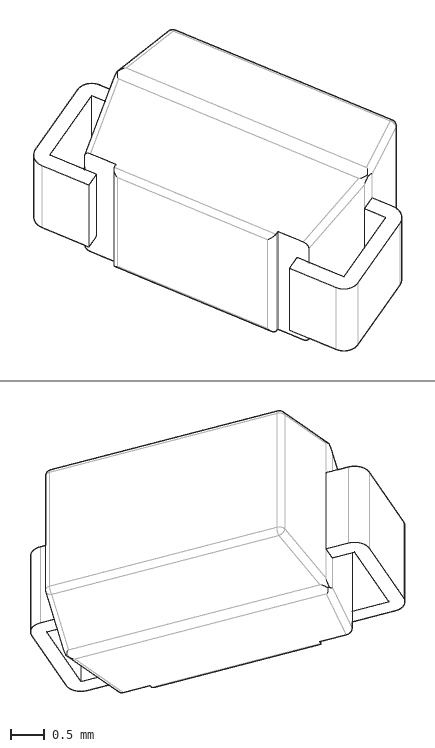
import cadquery as cq
import math

total_length = 5.4
total_depth = 2.95
body_length = 4.21
body_height = 2.7
draft_angle = 10.0
edge_radius = 0.095

lead_thickness = 0.24
lead_width = 1.42
lead_back = 1.77
foot_length = 1.02

pad_length = 2.71
pad_front = 0.1

body_front = lead_thickness
belt_front = lead_back - lead_thickness
parting_plane = (lead_back + belt_front) / 2
draft_slope = math.tan(math.radians(draft_angle))


def drafted_half(end_y, round_end):
    """Tapered block from the parting plane to end_y; slanting edges are rounded, the back rim optionally."""
    belt_overhang = draft_slope * lead_thickness / 2
    block = (
        cq.Workplane("XZ", origin=(0, parting_plane, 0))
        .rect(body_length + 2 * belt_overhang, body_height + 2 * belt_overhang)
        .extrude(-(end_y - parting_plane), taper=draft_angle)
    )
    slanting_edges = block.edges("not(<Y or >Y)")
    if round_end:
        slanting_edges = slanting_edges.add(block.edges(">Y"))
    return slanting_edges.fillet(edge_radius)


def make_body():
    """Two drafted halves trimmed to a flat belt around the parting plane."""
    envelope = cq.Workplane("XY").box(
        body_length, total_depth, body_height, centered=(True, False, True)
    )
    back_half = drafted_half(total_depth, round_end=True)
    front_half = drafted_half(body_front, round_end=False)
    return back_half.union(front_half).intersect(envelope)


def make_pad():
    """Raised pad whose upper and lower faces continue the draft of the body."""
    base_half = body_height / 2
    front_half = base_half - draft_slope * (belt_front - pad_front)
    return (
        cq.Workplane("YZ")
        .moveTo(pad_front, -front_half)
        .lineTo(belt_front, -base_half)
        .lineTo(belt_front, base_half)
        .lineTo(pad_front, front_half)
        .close()
        .extrude(pad_length / 2, both=True)
        .faces("<Y")
        .edges()
        .fillet(edge_radius)
    )


def make_left_lead():
    """C-shaped strip with rounded outer bends and square inner corners."""
    outer_x = -total_length / 2
    inner_x = outer_x + lead_thickness
    foot_x = outer_x + foot_length
    strip = (
        cq.Workplane("XY")
        .moveTo(foot_x, 0)
        .lineTo(outer_x, 0)
        .lineTo(outer_x, lead_back)
        .lineTo(foot_x, lead_back)
        .lineTo(foot_x, belt_front)
        .lineTo(inner_x, belt_front)
        .lineTo(inner_x, lead_thickness)
        .lineTo(foot_x, lead_thickness)
        .close()
        .extrude(lead_width / 2, both=True)
    )
    return strip.edges("|Z and <X").fillet(lead_thickness)


left_lead = make_left_lead()
right_lead = left_lead.mirror("YZ")
result = make_body().union(make_pad()).union(left_lead).union(right_lead).clean()